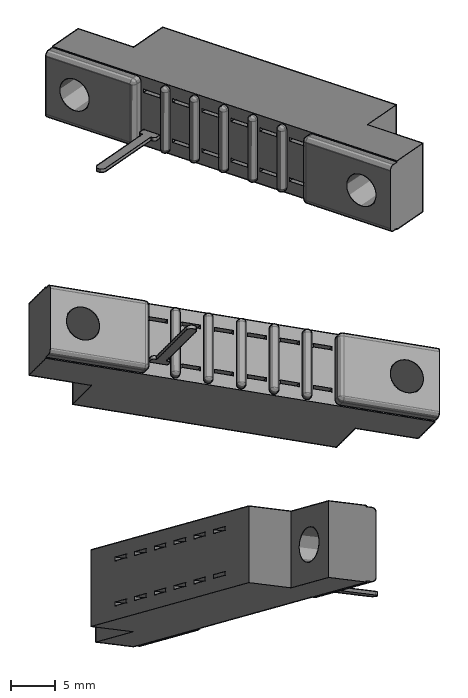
import cadquery as cq

length = 46.8
height = 8.7
block_depth = 10.7
step_depth = 5.65
back_width = 31.72

pad_length = 12.03
pad_rise = 1.3
pad_round = 0.55
edge_inset = 0.15
raised_height = height - 2 * edge_inset

hole_diameter = 4.0
hole_spacing = 38.95

slot_columns = 6
slot_row_span = 19.8
slot_pitch = slot_row_span / (slot_columns - 1)
slot_width = 2.25
slot_height = 0.4
row_spacing = 5.1
rib_width = 1.05
rib_rise = 0.8

overall_depth = 21.1
pin_reach = overall_depth - block_depth
pin_head_rise = 1.0
pin_head_round = 0.37
pin_tail_width = 1.15


def centred_positions(count, pitch):
    """Evenly spaced positions along X, centred on zero."""
    return [(i - (count - 1) / 2) * pitch for i in range(count)]


slot_x = centred_positions(slot_columns, slot_pitch)
rib_x = centred_positions(slot_columns - 1, slot_pitch)


def box_between(x_min, x_max, y_min, y_max, box_height):
    """Box centred on Z = 0 that spans the given X and Y ranges."""
    box = cq.Workplane("XY").box(x_max - x_min, y_max - y_min, box_height, centered=(False, False, True))
    return box.translate((x_min, y_min, 0))


def make_left_pad():
    """Raised pad, sharp at its outer end and rounded over its other free edges."""
    outer_x = -length / 2
    pad = box_between(outer_x, outer_x + pad_length, -pad_rise, 0, raised_height)
    return pad.edges("not(<X or >Y)").fillet(pad_round)


def make_rib(x):
    """Rib with a fully round crest and ball-shaped ends, standing on a slot-shaped foot."""
    radius = rib_width / 2
    crest_axis_y = radius - rib_rise
    axis_end_z = raised_height / 2 - radius

    rib = cq.Workplane("XZ", origin=(x, 0, 0)).slot2D(raised_height, rib_width, 90).extrude(-crest_axis_y)
    crest = cq.Workplane("XY", origin=(x, crest_axis_y, -axis_end_z)).circle(radius).extrude(2 * axis_end_z)
    rib = rib.union(crest)
    for z in (-axis_end_z, axis_end_z):
        rib = rib.union(cq.Workplane("XY", origin=(x, crest_axis_y, z)).sphere(radius))
    return rib


def make_slot_cutter(x, z):
    """Rectangular bar, running the full depth of the block."""
    half_width = slot_width / 2
    return box_between(x - half_width, x + half_width, 0, block_depth, slot_height).translate((0, 0, z))


def make_housing():
    ears = box_between(-length / 2, length / 2, 0, block_depth - step_depth, height)
    back = box_between(-back_width / 2, back_width / 2, 0, block_depth, height)
    left_pad = make_left_pad()
    right_pad = left_pad.mirror("YZ")
    housing = ears.union(back).union(left_pad).union(right_pad)

    for x in rib_x:
        housing = housing.union(make_rib(x))

    for x in slot_x:
        for z in (-row_spacing / 2, row_spacing / 2):
            housing = housing.cut(make_slot_cutter(x, z))

    for x in (-hole_spacing / 2, hole_spacing / 2):
        hole = (
            cq.Workplane("XZ", origin=(x, -pad_rise, 0))
            .circle(hole_diameter / 2)
            .extrude(-(pad_rise + block_depth))
        )
        housing = housing.cut(hole)
    return housing


def make_pin():
    """Contact in the lower slot of the first column."""
    x = slot_x[0]
    head = box_between(x - slot_width / 2, x + slot_width / 2, -pin_head_rise, block_depth, slot_height)
    head = head.edges("|Z and <Y").fillet(pin_head_round)
    tip_radius = pin_tail_width / 2
    shank_end = -pin_reach + tip_radius
    tail = (
        cq.Workplane("XY", origin=(x, 0, -slot_height / 2))
        .moveTo(-tip_radius, 0)
        .lineTo(-tip_radius, shank_end)
        .threePointArc((0, -pin_reach), (tip_radius, shank_end))
        .lineTo(tip_radius, 0)
        .close()
        .extrude(slot_height)
    )
    return head.union(tail).translate((0, 0, -row_spacing / 2))


housing = make_housing()
pin = make_pin()
result = cq.Compound.makeCompound([housing.val(), pin.val()])